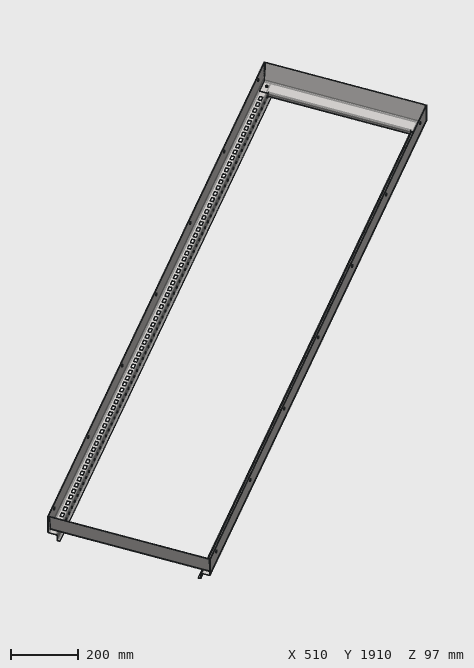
import cadquery as cq
import math

length = 1910.0
width = 510.0
height = 97.0

sheet = 2.0
inner_bend = 2.9
outer_bend = inner_bend + sheet

rail_wall_height = 73.0
web_inset = 29.0
lip_tip_inset = 38.0

panel_half_width = width / 2 - outer_bend
panel_lean = 9.5
panel_flange_edge = 900.0
panel_lip_depth = 15.0
panel_lip_half_width = 223.0

wall_hole_count = 7
wall_hole_span = 1800.0
wall_hole_pitch = wall_hole_span / (wall_hole_count - 1)
pitches_per_wall_hole = 12
hole_pitch = wall_hole_pitch / pitches_per_wall_hole
wall_hole_diameter = 8.5
wall_hole_drop = 23.0
slot_count = 71
slot_length = 13.8
slot_width = 10.0
slot_inset = 17.0
web_hole_count = 75
web_hole_diameter = 6.3
web_hole_z = 11.0
bolt_hole_diameter = 8.0
bolt_hole_inset = 20.0
bolt_hole_x = width / 2 - bolt_hole_inset
bolt_hole_y = (web_hole_count - 1) / 2 * hole_pitch

rail_flange_bottom = height - rail_wall_height
rail_flange_top = rail_flange_bottom + sheet
panel_flange_top = rail_flange_top + sheet


def sheet_outline(path):
    """Closed wire around a centreline path: one sheet thick, with every corner bent round."""
    points = [cq.Vector(across, up) for across, up in path]
    runs = [(end - start).normalized() for start, end in zip(points, points[1:])]
    lefts = [cq.Vector(-run.y, run.x) for run in runs]
    steps = [lefts[0]]
    steps += [(a + b) / (1 + a.dot(b)) for a, b in zip(lefts, lefts[1:])]
    steps.append(lefts[-1])
    left_side = [point + step * (sheet / 2) for point, step in zip(points, steps)]
    right_side = [point - step * (sheet / 2) for point, step in zip(points, steps)]
    wire = cq.Wire.makePolygon(left_side + right_side[::-1], close=True)

    for i, (before, after) in enumerate(zip(runs, runs[1:]), start=1):
        turns_left = before.cross(after).z > 0
        inside, outside = (left_side, right_side) if turns_left else (right_side, left_side)
        for corner, radius in ((inside[i], inner_bend), (outside[i], outer_bend)):
            vertex = min(wire.Vertices(), key=lambda v: (v.Center() - corner).Length)
            wire = wire.fillet2D(radius, [vertex])
    return wire


def bent_sheet(plane, path, depth):
    """Sheet that follows the path in the plane and reaches half the depth to either side of it."""
    outline = sheet_outline(path)
    blank = cq.Workplane(cq.Solid.extrudeLinear(outline, [], cq.Vector(0, 0, depth)))
    return cq.Workplane(blank.val().translate(cq.Vector(0, 0, -depth / 2)).moved(plane.location))


def row(count, pitch):
    """Evenly spaced positions centred on zero."""
    return [(i - (count - 1) / 2) * pitch for i in range(count)]


def side_rail():
    """Rail on the +X side, running along Y."""
    wall_x = (width - sheet) / 2
    web_x = width / 2 - web_inset - sheet / 2
    flange_z = rail_flange_bottom + sheet / 2
    lip_z = sheet / 2
    path = [
        (wall_x, height),
        (wall_x, flange_z),
        (web_x, flange_z),
        (web_x, lip_z),
        (width / 2 - lip_tip_inset, lip_z),
    ]
    rail = bent_sheet(cq.Plane.XZ(), path, length)

    wall_holes = (
        cq.Workplane("YZ", origin=(width / 2 - outer_bend, 0, height - wall_hole_drop))
        .pushPoints([(y, 0) for y in row(wall_hole_count, wall_hole_pitch)])
        .circle(wall_hole_diameter / 2)
        .extrude(2 * outer_bend)
    )
    web_holes = (
        cq.Workplane("YZ", origin=(web_x - sheet, 0, web_hole_z))
        .pushPoints([(y, 0) for y in row(web_hole_count, hole_pitch)])
        .circle(web_hole_diameter / 2)
        .extrude(2 * sheet)
    )
    slots = (
        cq.Workplane("XY", origin=(width / 2 - slot_inset, 0, flange_z - sheet))
        .pushPoints([(0, y) for y in row(slot_count, hole_pitch)])
        .rect(slot_width, slot_length)
        .extrude(2 * sheet)
    )
    return rail.cut(wall_holes).cut(web_holes).cut(slots).cut(bolt_holes())


def end_panel():
    """Panel on the +Y side, standing on the rail flanges between the two rail walls."""
    lean = math.radians(panel_lean)
    flange_z = panel_flange_top - sheet / 2
    top_y = length / 2 - sheet / 2 * math.cos(lean)
    top_z = height - sheet / 2 * math.sin(lean)
    foot_y = top_y - (top_z - flange_z) * math.tan(lean)
    lip_y = panel_flange_edge + sheet / 2
    wall_and_flange = [(top_y, top_z), (foot_y, flange_z)]
    flat_path = wall_and_flange + [(panel_flange_edge, flange_z)]
    lip_path = wall_and_flange + [(lip_y, flange_z), (lip_y, panel_flange_top - panel_lip_depth)]

    panel = bent_sheet(cq.Plane.YZ(), lip_path, 2 * panel_lip_half_width)
    tab_width = panel_half_width - panel_lip_half_width
    for side in (1, -1):
        tab_x = side * (panel_lip_half_width + tab_width / 2)
        panel = panel.union(bent_sheet(cq.Plane.YZ((tab_x, 0, 0)), flat_path, tab_width))
    return panel.cut(bolt_holes())


def bolt_holes():
    """Cutters for the bolts that join panel and rail flanges at the four corners."""
    return (
        cq.Workplane("XY", origin=(0, 0, rail_flange_bottom - sheet))
        .rect(2 * bolt_hole_x, 2 * bolt_hole_y, forConstruction=True)
        .vertices()
        .circle(bolt_hole_diameter / 2)
        .extrude(4 * sheet)
    )


half_turns = (0, 180)
side_rails = [side_rail().val().rotate((0, 0, 0), (0, 0, 1), turn) for turn in half_turns]
end_panels = [end_panel().val().rotate((0, 0, 0), (0, 0, 1), turn) for turn in half_turns]

result = cq.Compound.makeCompound([*side_rails, *end_panels])